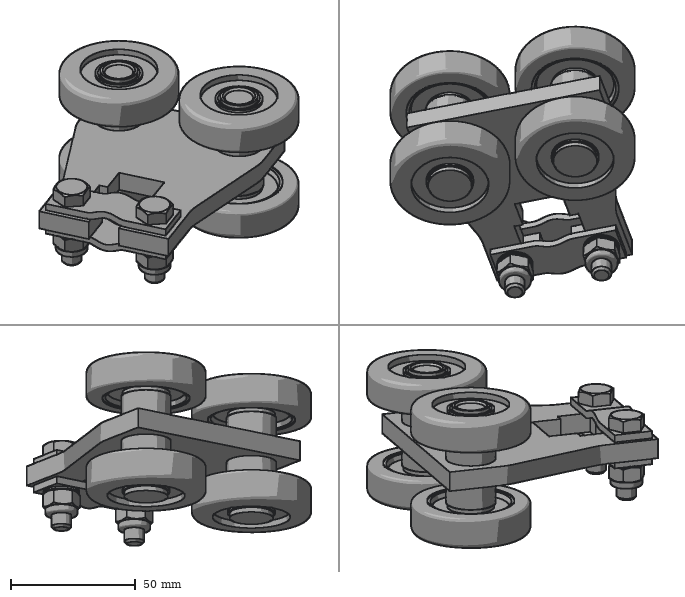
import cadquery as cq
import math


overall_length = 103.0
wheel_diameter = 48.0

plate_thickness = 8.0
plate_wide = 80.0
plate_narrow = 56.0
plate_back = 14.0
plate_front = wheel_diameter / 2 - overall_length
wide_length = 24.8
narrow_length = 24.8
side_bend_radius = 20.0
slot_width, slot_depth = 19.6, 39.9
pocket_width, pocket_depth = 26.7, 27.8
mouth_width, mouth_depth = 13.1, 14.0

axle_spacing = 52.0
wheel_face_height = 26.8
axle_top = 26.4
axle_head_bottom = -27.2
wheel_width = 13.1
outer_edge_radius = 2.6
inner_edge_radius = 1.5
recess_diameter = 31.0
recess_depth = 2.6
inner_step_diameter = 35.0
inner_step_depth = 0.5
inner_taper_diameter = 32.6
hub_diameter = 19.0
hub_height = 1.0
hub_dish_diameter = 16.9
hub_dish_depth = 0.4
sleeve_diameter = 20.0
sleeve_entry = 0.8
axle_diameter = 15.0
axle_cup_diameter = 13.0
axle_cup_floor_diameter = 11.3
axle_cup_depth = 0.9
axle_head_diameter = 17.5

strap_length = 52.0
strap_width = 16.0
strap_thickness = 3.0
strap_inset = 1.9
arch_half_length = 8.3
arch_angle = math.radians(22)
arch_bend_radius = 6.7

bolt_spacing = 35.9
bolt_diameter = 8.0
bolt_tip_height = -22.8
bolt_tip_chamfer = 1.0
hex_flats = 13.0
hex_face_diameter = 12.4
hex_turn = 30
hex_chamfer_angle = math.radians(30)
head_height = 5.4
washer_diameter = 14.4
washer_thickness = 0.8
nut_height = 6.5
collar_diameter = 13.0
collar_height = 2.8
collar_edge_radius = 1.0

plate_top = plate_thickness / 2
strap_top = plate_top + strap_thickness
strap_y = plate_front + strap_inset + strap_width / 2


def cylinder(diameter, bottom, top):
    return cq.Workplane("XY").workplane(offset=bottom).circle(diameter / 2).extrude(top - bottom)


def tapered_disc(first_diameter, first_height, second_diameter, second_height):
    """Solid cone frustum between two circles on the Z axis."""
    base = cq.Workplane("XY").workplane(offset=first_height).circle(first_diameter / 2)
    return base.workplane(offset=second_height - first_height).circle(second_diameter / 2).loft()


def make_plate():
    """Tapered plate with rounded side bends and a stepped opening at the clamp end."""
    wide_corner = plate_back - wide_length
    narrow_corner = plate_front + narrow_length
    half_wide, half_narrow = plate_wide / 2, plate_narrow / 2
    outline = [
        (half_wide, plate_back),
        (half_wide, wide_corner),
        (half_narrow, narrow_corner),
        (half_narrow, plate_front),
    ]
    outline += [(-x, y) for x, y in reversed(outline)]
    plate = cq.Workplane("XY").polyline(outline).close().extrude(plate_top, both=True)
    for half_width, corner_y in ((half_wide, wide_corner), (half_narrow, narrow_corner)):
        for corner_x in (-half_width, half_width):
            corner = cq.selectors.NearestToPointSelector((corner_x, corner_y, 0))
            plate = plate.edges("|Z").edges(corner).fillet(side_bend_radius)
    for width, start, end in (
        (slot_width, pocket_depth, slot_depth),
        (pocket_width, mouth_depth, pocket_depth),
        (mouth_width, 0, mouth_depth),
    ):
        opening = cq.Workplane("XY").box(width, end - start, plate_thickness)
        plate = plate.cut(opening.translate((0, plate_front + (start + end) / 2, 0)))
    return plate


def make_wheel():
    """Wheel on the Z axis, inner face at Z = 0 and outer face at Z = wheel_width."""
    wheel = cylinder(wheel_diameter, 0, wheel_width)
    wheel = wheel.faces(">Z").edges().fillet(outer_edge_radius)
    wheel = wheel.faces("<Z").edges().fillet(inner_edge_radius)

    outer_floor = wheel_width - recess_depth
    wheel = wheel.cut(cylinder(recess_diameter, outer_floor, wheel_width))
    wheel = wheel.cut(cylinder(inner_step_diameter, 0, inner_step_depth))
    wheel = wheel.cut(
        tapered_disc(inner_taper_diameter, inner_step_depth, recess_diameter, recess_depth)
    )

    hub_top = outer_floor + hub_height
    dish_floor = hub_top - hub_dish_depth
    wheel = wheel.union(cylinder(hub_diameter, sleeve_entry, hub_top))
    return wheel.cut(tapered_disc(axle_diameter, dish_floor, hub_dish_diameter, hub_top))


def make_axle():
    """Axle with its two wheels, cupped at the top end and headed at the bottom end."""
    upper_wheel = make_wheel().translate((0, 0, wheel_face_height - wheel_width))
    sleeve_end = wheel_face_height - wheel_width + sleeve_entry
    sleeve = cylinder(sleeve_diameter, -sleeve_end, sleeve_end)
    axle = cylinder(axle_diameter, axle_head_bottom, axle_top)
    cup_floor = axle_top - axle_cup_depth
    cup = tapered_disc(axle_cup_floor_diameter, cup_floor, axle_cup_diameter, axle_top)
    head = cylinder(axle_head_diameter, axle_head_bottom, recess_depth - wheel_face_height)
    wheels = upper_wheel.union(upper_wheel.mirror("XY"))
    return wheels.union(sleeve).union(head).union(axle).cut(cup)


def make_strap():
    """Strap lying on the plate, arched across the middle.

    The arch has a foot bend at each end, two straight flanks and a rounded crown.
    """
    inner, outer = arch_bend_radius, arch_bend_radius + strap_thickness
    sine, cosine = math.sin(arch_angle), math.cos(arch_angle)
    flank_run = arch_half_length - (inner + outer) * sine
    rise = (inner + outer) * (1 - cosine) + flank_run * math.tan(arch_angle)

    def half_surface(level, foot_radius, crown_radius):
        crown = level + rise
        return {
            "end": (strap_length / 2, level),
            "foot": (arch_half_length, level),
            "foot_top": (
                arch_half_length - foot_radius * sine, level + foot_radius * (1 - cosine)
            ),
            "shoulder": (crown_radius * sine, crown - crown_radius * (1 - cosine)),
            "crown": (0, crown),
        }

    def flip(point):
        return (-point[0], point[1])

    top = half_surface(strap_top, inner, outer)
    under = half_surface(plate_top, outer, inner)
    profile = (
        cq.Workplane("XZ")
        .moveTo(*flip(top["end"]))
        .lineTo(*flip(top["foot"]))
        .tangentArcPoint(flip(top["foot_top"]), relative=False)
        .lineTo(*flip(top["shoulder"]))
        .threePointArc(top["crown"], top["shoulder"])
        .lineTo(*top["foot_top"])
        .tangentArcPoint(top["foot"], relative=False)
        .lineTo(*top["end"])
        .lineTo(*under["end"])
        .lineTo(*under["foot"])
        .tangentArcPoint(under["foot_top"], relative=False)
        .lineTo(*under["shoulder"])
        .threePointArc(under["crown"], flip(under["shoulder"]))
        .lineTo(*flip(under["foot_top"]))
        .tangentArcPoint(flip(under["foot"]), relative=False)
        .lineTo(*flip(under["end"]))
        .close()
    )
    return profile.extrude(strap_width / 2, both=True).translate((0, strap_y, 0))


def make_hex(bottom, top, chamfer_bottom):
    """Hexagon with corners toward Y; its corners are cut back by a shallow cone."""
    corner_radius = hex_flats / math.sqrt(3)
    face_radius = hex_face_diameter / 2
    corner_drop = (corner_radius - face_radius) * math.tan(hex_chamfer_angle)
    prism = (
        cq.Workplane("XY").workplane(offset=bottom).polygon(6, 2 * corner_radius)
        .extrude(top - bottom).rotate((0, 0, 0), (0, 0, 1), hex_turn)
    )
    envelope = [(0, bottom)]
    if chamfer_bottom:
        envelope += [(face_radius, bottom), (corner_radius, bottom + corner_drop)]
    else:
        envelope += [(corner_radius, bottom)]
    envelope += [(corner_radius, top - corner_drop), (face_radius, top), (0, top)]
    turned = cq.Workplane("XZ").polyline(envelope).close().revolve(360, (0, 0), (0, 1))
    return prism.intersect(turned)


def make_bolt():
    """Hexagon bolt through plate and straps, with washer and collared lock nut below."""
    nut_top = -strap_top - washer_thickness
    nut_bottom = nut_top - nut_height
    collar_bottom = nut_bottom - collar_height
    bolt = make_hex(strap_top, strap_top + head_height, False)
    shank = cylinder(bolt_diameter, bolt_tip_height, strap_top)
    bolt = bolt.union(shank.faces("<Z").chamfer(bolt_tip_chamfer))
    bolt = bolt.union(cylinder(washer_diameter, nut_top, -strap_top))
    bolt = bolt.union(make_hex(nut_bottom, nut_top, True))
    collar = cylinder(collar_diameter, collar_bottom, nut_bottom)
    return bolt.union(collar.faces("<Z").edges().fillet(collar_edge_radius))


result = make_plate()
strap = make_strap()
result = result.union(strap).union(strap.mirror("XY"))
for side in (-1, 1):
    result = result.union(make_axle().translate((side * axle_spacing / 2, 0, 0)))
    result = result.union(make_bolt().translate((side * bolt_spacing / 2, strap_y, 0)))